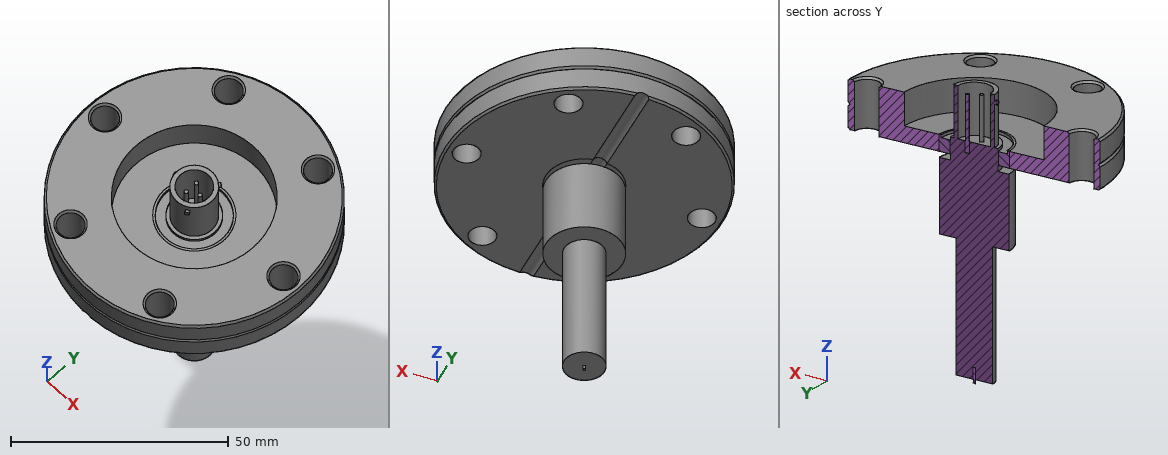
import cadquery as cq
import math


flange_diameter = 69.1
flange_height = 12.7
edge_chamfer = 0.5
recess_diameter = 38.1
recess_floor_z = 4.3
bolt_count = 6
bolt_circle_radius = 29.4
bolt_hole_diameter = 6.65
bolt_hole_chamfer = 0.5

leak_groove_width = 3.5
leak_groove_depth = 0.95

adapter_diameter = 19.15
adapter_lip_width = 0.6
adapter_moat_depth = 0.7

neck_diameter = 13.1
shell_diameter = 11.25
shell_bore_diameter = 8.85
shell_top_z = 17.5
barrel_diameter = 19.1
barrel_top_z = -1.4
barrel_length = 19.15
stem_diameter = 10.1
stem_length = 34.05

stud_count = 3
stud_diameter = 1.2
stud_tip_radius = 6.35
stud_drop = 2.0

pin_count = 3
pin_diameter = 1.0
pin_circle_radius = 1.9
pin_drop = 1.6
pin_seat_depth = 2.9

wire_diameter = 0.65
wire_projection = 0.95
wire_seat_depth = 2.9

flange_radius = flange_diameter / 2
barrel_bottom_z = barrel_top_z - barrel_length
stem_bottom_z = barrel_bottom_z - stem_length
stud_z = shell_top_z - stud_drop
pin_bottom_z = recess_floor_z - pin_seat_depth
pin_length = shell_top_z - pin_drop - pin_bottom_z


def disc(diameter, bottom_z, top_z):
    """Upright cylinder on the part axis between two heights."""
    return cq.Workplane("XY").workplane(offset=bottom_z).circle(diameter / 2).extrude(top_z - bottom_z)


def flange_blank():
    """Chamfered disc with a V groove round the middle of its rim."""
    inner_radius = flange_radius - edge_chamfer
    middle_z = flange_height / 2
    profile = [
        (0, 0),
        (inner_radius, 0),
        (flange_radius, edge_chamfer),
        (flange_radius, middle_z - edge_chamfer),
        (inner_radius, middle_z),
        (flange_radius, middle_z + edge_chamfer),
        (flange_radius, flange_height - edge_chamfer),
        (inner_radius, flange_height),
        (0, flange_height),
    ]
    return cq.Workplane("XZ").polyline(profile).close().revolve(360, (0, 0, 0), (0, 1, 0))


def bolt_hole_cutters():
    """Through holes on the bolt circle, chamfered at the top."""
    hole_radius = bolt_hole_diameter / 2
    mouth_radius = hole_radius + bolt_hole_chamfer
    profile = [
        (0, 0),
        (hole_radius, 0),
        (hole_radius, flange_height - bolt_hole_chamfer),
        (mouth_radius, flange_height),
        (0, flange_height),
    ]
    cutter = cq.Workplane("XZ").polyline(profile).close().revolve(360, (0, 0, 0), (0, 1, 0)).val()
    return (
        cq.Workplane("XY")
        .polarArray(bolt_circle_radius, 0, 360, bolt_count)
        .eachpoint(lambda place: cutter.moved(place))
    )


def leak_groove_cutter():
    """Round-topped groove along Y, across the whole underside."""
    half_width = leak_groove_width / 2
    return (
        cq.Workplane("XZ")
        .moveTo(-half_width, 0)
        .threePointArc((0, leak_groove_depth), (half_width, 0))
        .close()
        .extrude(flange_radius, both=True)
    )


def make_flange():
    flange = flange_blank()
    flange = flange.cut(disc(recess_diameter, recess_floor_z, flange_height))
    flange = flange.cut(disc(adapter_diameter, 0, recess_floor_z))
    flange = flange.cut(bolt_hole_cutters())
    return flange.cut(leak_groove_cutter())


def make_adapter():
    """Ring flush with the recess floor, with a shallow moat inside its weld lip."""
    moat_diameter = adapter_diameter - 2 * adapter_lip_width
    moat_floor_z = recess_floor_z - adapter_moat_depth
    adapter = disc(adapter_diameter, 0, recess_floor_z)
    adapter = adapter.cut(disc(moat_diameter, moat_floor_z, recess_floor_z))
    adapter = adapter.cut(disc(neck_diameter, 0, recess_floor_z))
    return adapter.cut(leak_groove_cutter())


def stud(angle):
    """Bayonet stud pointing outward, rooted in the middle of the shell wall."""
    root_radius = (shell_diameter + shell_bore_diameter) / 4
    return (
        cq.Workplane("YZ", origin=(root_radius, 0, stud_z))
        .circle(stud_diameter / 2)
        .extrude(stud_tip_radius - root_radius)
        .rotate((0, 0, 0), (0, 0, 1), angle)
    )


def make_pins():
    """Contact pins standing in the floor of the shell, one on +X."""
    pins = []
    for index in range(pin_count):
        angle = 2 * math.pi * index / pin_count
        x = pin_circle_radius * math.cos(angle)
        y = pin_circle_radius * math.sin(angle)
        pin = cq.Workplane("XY", origin=(x, y, pin_bottom_z)).circle(pin_diameter / 2).extrude(pin_length)
        pins.append(pin)
    return pins


def make_wire():
    return disc(wire_diameter, stem_bottom_z - wire_projection, stem_bottom_z + wire_seat_depth)


def make_connector(pins, wire):
    """Shell, neck, barrel and stem in one piece, with seats for the pins and the wire."""
    connector = disc(stem_diameter, stem_bottom_z, barrel_bottom_z)
    connector = connector.union(disc(barrel_diameter, barrel_bottom_z, barrel_top_z))
    connector = connector.union(disc(neck_diameter, barrel_top_z, recess_floor_z))
    connector = connector.union(disc(shell_diameter, recess_floor_z, shell_top_z))
    connector = connector.cut(disc(shell_bore_diameter, recess_floor_z, shell_top_z))
    for index in range(stud_count):
        connector = connector.union(stud(180 + 360 * index / stud_count))
    for insert in [*pins, wire]:
        connector = connector.cut(insert)
    return connector


flange = make_flange()
adapter = make_adapter()
pins = make_pins()
wire = make_wire()
connector = make_connector(pins, wire)

result = cq.Compound.makeCompound(
    [flange.val(), adapter.val(), connector.val(), wire.val(), *[pin.val() for pin in pins]]
)